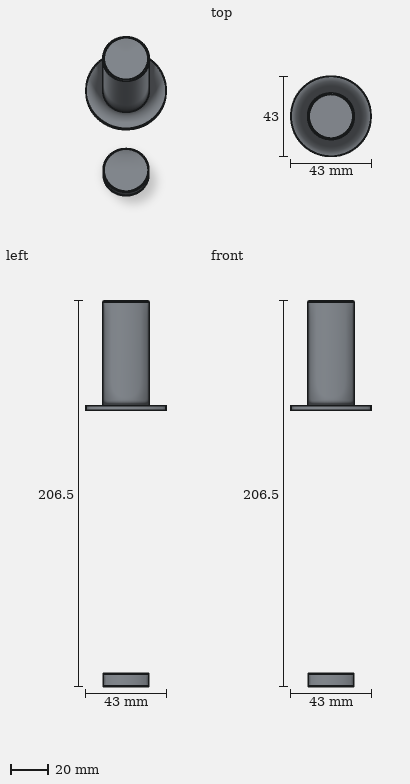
import cadquery as cq

total_height = 206.5

pin_height = 58.6
flange_diameter = 43.0
flange_thickness = 2.5
shank_diameter = 25.0
shank_chamfer = 0.8

disc_diameter = 24.5
disc_thickness = 7.2
disc_chamfer = 0.5


def make_headed_pin():
    """Flanged pin whose free end is chamfered."""
    flange_bottom = total_height - pin_height
    flange = (
        cq.Workplane("XY", origin=(0, 0, flange_bottom))
        .circle(flange_diameter / 2)
        .extrude(flange_thickness)
    )
    shank = (
        cq.Workplane("XY", origin=(0, 0, flange_bottom + flange_thickness))
        .circle(shank_diameter / 2)
        .extrude(pin_height - flange_thickness)
        .faces(">Z")
        .chamfer(shank_chamfer)
    )
    return flange.union(shank)


def make_disc():
    """Plain disc with both rims chamfered."""
    return (
        cq.Workplane("XY")
        .circle(disc_diameter / 2)
        .extrude(disc_thickness)
        .faces("<Z or >Z")
        .chamfer(disc_chamfer)
    )


headed_pin = make_headed_pin()
disc = make_disc()

result = cq.Compound.makeCompound([headed_pin.val(), disc.val()])